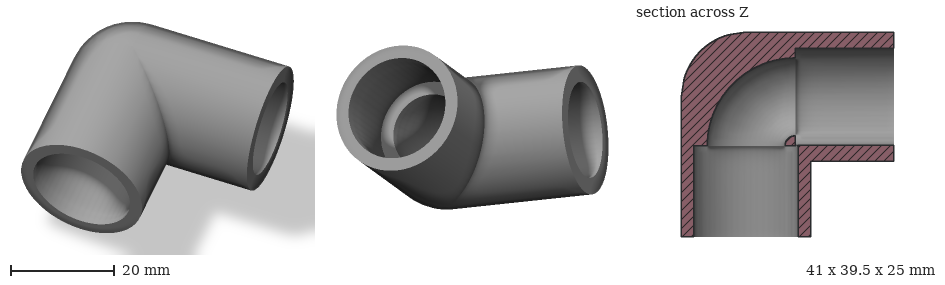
import cadquery as cq

outer_diameter = 25.0
bore_diameter = 14.92
socket_diameter = 20.0
side_socket_diameter = 18.6
overall_x = 41.0
overall_y = 39.5
bore_bend_radius = 9.5
socket_floor_offset = bore_bend_radius

outer_radius = outer_diameter / 2
front_arm_length = overall_y - outer_radius
side_arm_length = overall_x - outer_radius

front_plane = cq.Plane(origin=(0, 0, 0), xDir=(1, 0, 0), normal=(0, -1, 0))
side_plane = cq.Plane(origin=(0, 0, 0), xDir=(0, 1, 0), normal=(1, 0, 0))


def arm_cylinder(plane, diameter, end, start=0):
    """Solid cylinder along an arm, between two distances from the axis crossing."""
    return cq.Workplane(plane).workplane(offset=start).circle(diameter / 2).extrude(end - start)


def elbow_body():
    """Two solid round arms joined by a ball of the same diameter."""
    ball = cq.Workplane("XY").sphere(outer_radius)
    front_arm = arm_cylinder(front_plane, outer_diameter, front_arm_length)
    side_arm = arm_cylinder(side_plane, outer_diameter, side_arm_length)
    return front_arm.union(side_arm).union(ball)


def curved_bore():
    """Quarter-turn round passage joining the two socket floors."""
    return (
        cq.Workplane(front_plane)
        .workplane(offset=bore_bend_radius)
        .circle(bore_diameter / 2)
        .revolve(90, (bore_bend_radius, 0), (bore_bend_radius, -1))
    )


front_socket = arm_cylinder(front_plane, socket_diameter, front_arm_length, socket_floor_offset)
side_socket = arm_cylinder(side_plane, side_socket_diameter, side_arm_length, socket_floor_offset)

result = elbow_body().cut(curved_bore()).cut(front_socket).cut(side_socket)